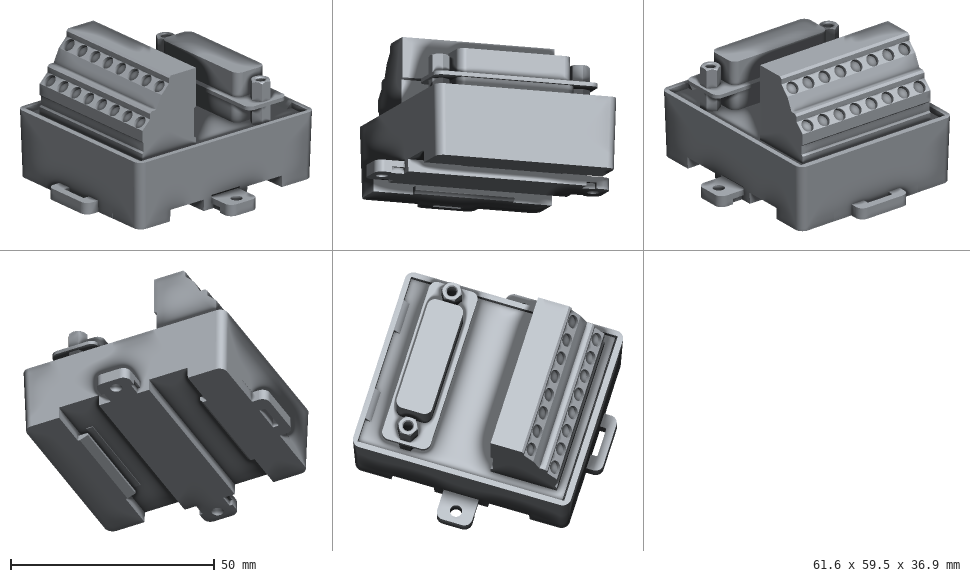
import cadquery as cq
import math

housing_x = 47.75
housing_y = 56.05
housing_z = 17.9
corner_radius = 2.15
draft_angle = 1.5
rim_width = 1.35
front_rim_width = 1.55
tray_depth = 1.55
board_thickness = 1.25
board_top = housing_z - tray_depth
board_bottom = board_top - board_thickness

channel_height = 3.1
channel_rear = 17.7
channel_front = -17.8
foot_y = 13.8
centre_y = -0.25

overall_x = 61.6
ear_width = 9.05
ear_height = 3.0
ear_radius = 2.05
ear_hole_diameter = 3.0
ear_hole_x = 27.7
ear_groove_x = 26.85
ear_groove_height = 1.5
ear_groove_depth = 0.8
ear_relief = 0.7

hook_reach = 2.7
hook_top = 1.55
hook_nose = 0.85
hook_toe = 0.5
pad_y = 14.5
pad_width = 1.7
pad_height = 0.2

snap_width = 8.15
snap_x = 12.1
snap_reach = 1.55
bead_reach = 0.45
board_gap = 0.2

clip_width = 26.1
clip_height = ear_height
clip_face_y = -27.6
clip_end_y = -31.5
clip_nose_y = -16.0
clip_nose_top = 1.8
clip_nose_edge = 0.8
clip_toe = 1.0
handle_width = 15.15
handle_x = -0.1
handle_radius = 2.05
handle_root = 3.1
handle_draft = 1.5
slot_width = 7.7
slot_end_y = -29.3
slot_radius = 0.4

connector_y = 14.95
lower_x = 30.9
lower_y = 10.8
flange_x = 43.0
flange_y = 12.45
flange_bottom = 21.75
flange_thickness = 1.0
shell_x = 29.7
shell_y = 9.1
shell_top = 29.2
connector_radius = 2.0
post_x = 18.4
post_corner_diameter = 5.25
post_top = 27.85
post_chamfer = 0.4
post_bore = 2.45
post_bore_mouth = 3.0
post_bore_depth = 7.4

block_x = 39.9
screw_count = 8
screw_pitch = 5.0
screw_diameter = 3.3
screw_depth = 1.1
block_top = 36.9
block_rear = -6.8
upper_lip = (-15.35, 34.9)
upper_sill = (-17.75, 32.45)
lower_lip = (-21.4, 26.9)
lower_sill = (-23.85, 24.5)
step_y = -19.4
step_z = 28.95
edge_break = 0.55
waist_front_z = 21.55
waist_rear_z = 26.75
waist_depth = 0.45
waist_rear_depth = 0.7
base_z = 18.35


def box(x0, x1, y0, y1, z0, z1):
    """Box between two opposite corners."""
    return cq.Workplane("XY").box(x1 - x0, y1 - y0, z1 - z0, centered=False).translate((x0, y0, z0))


def rounded_block(length, width, radius, y, z0, z1):
    """Upright block with rounded corners, centred on X = 0."""
    block = cq.Workplane("XY", origin=(0, y, z0)).rect(length, width).extrude(z1 - z0)
    return block.edges("|Z").fillet(radius)


def bar(points, width, x=0.0):
    """Prism along X with a (y, z) outline, centred on the given X."""
    return cq.Workplane("YZ", origin=(x - width / 2, 0, 0)).polyline(points).close().extrude(width)


tray_x = housing_x - 2 * rim_width
tray_rear = housing_y / 2 - rim_width
tray_front = -housing_y / 2 + front_rim_width


def housing_shell():
    body = cq.Workplane("XY", origin=(0, 0, housing_z)).rect(housing_x, housing_y)
    body = body.extrude(-housing_z, taper=draft_angle)
    body = body.edges("not(#Z)").fillet(corner_radius)
    tray = box(-tray_x / 2, tray_x / 2, tray_front, tray_rear, board_bottom, housing_z)
    return body.cut(tray)


def rail_channels():
    half = housing_x / 2
    foot_rear = centre_y + foot_y / 2
    foot_front = centre_y - foot_y / 2
    rear = box(-half, half, foot_rear, channel_rear, 0, channel_height)
    front = box(-half, half, channel_front, foot_front, 0, channel_height)
    return rear.union(front)


def fixed_hook():
    nose_y = channel_rear - hook_reach
    hook = bar([
        (channel_rear, 0),
        (channel_rear, hook_top),
        (nose_y, hook_top),
        (nose_y, hook_nose),
        (channel_rear - hook_toe, 0),
    ], clip_width)
    pad = box(-clip_width / 2, clip_width / 2, pad_y - pad_width / 2, pad_y + pad_width / 2,
              channel_height - pad_height, channel_height)
    return hook.union(pad)


def wall_x(z):
    """Half width of the drafted housing at a height."""
    return housing_x / 2 - (housing_z - z) * math.tan(math.radians(draft_angle))


def ear(side):
    """Mounting ear with a screw hole and a groove low on each flank; side is -1 or 1."""
    inner = housing_x / 2 - 2 * ear_relief
    outer = overall_x / 2
    y0 = centre_y - ear_width / 2
    y1 = centre_y + ear_width / 2
    body = box(inner, outer, y0, y1, 0, ear_height).edges("|Z and >X").fillet(ear_radius)
    hole = cq.Workplane("XY").center(ear_hole_x, centre_y).circle(ear_hole_diameter / 2).extrude(ear_height)
    body = body.cut(hole)
    body = body.cut(box(wall_x(0), ear_groove_x, y0, y0 + ear_groove_depth, 0, ear_groove_height))
    body = body.cut(box(wall_x(0), ear_groove_x, y1 - ear_groove_depth, y1, 0, ear_groove_height))
    return body if side > 0 else body.mirror("YZ")


def ear_undercut(side):
    """Sloped relief in the side wall just above an ear."""
    inner = wall_x(ear_height) - ear_relief
    outer = wall_x(ear_height) + ear_relief
    wedge = (
        cq.Workplane("XZ", origin=(0, centre_y + ear_width / 2, 0))
        .polyline([
            (inner, ear_height),
            (outer, ear_height),
            (outer, ear_height + 2 * ear_relief),
        ])
        .close()
        .extrude(ear_width)
    )
    return wedge if side > 0 else wedge.mirror("YZ")


def snap(x):
    return bar([
        (tray_rear, board_top),
        (tray_rear - snap_reach, board_top),
        (tray_rear, housing_z),
    ], snap_width, x)


def front_bead():
    return bar([
        (tray_front, board_bottom),
        (tray_front + bead_reach, board_bottom),
        (tray_front + bead_reach, board_top),
        (tray_front, housing_z),
    ], tray_x)


def clip_pocket():
    half = clip_width / 2
    return box(-half, half, -housing_y / 2, channel_front, 0, clip_height)


def make_housing():
    body = housing_shell().cut(rail_channels()).cut(clip_pocket())
    body = body.union(fixed_hook()).union(front_bead())
    for side in (-1, 1):
        body = body.cut(ear_undercut(side)).union(ear(side)).union(snap(side * snap_x))
    return body


def drafted_block(x, width, front_y, radius, z, height):
    """Drafted block, largest at z, reaching back into the clip body where its rear end is buried."""
    rear_y = clip_face_y + handle_root
    outline = cq.Sketch().rect(width, rear_y - front_y).vertices().fillet(radius)
    block = cq.Workplane("XY", origin=(x, (rear_y + front_y) / 2, z)).placeSketch(outline)
    return block.extrude(height, taper=handle_draft)


def make_clip():
    half = clip_width / 2
    body = box(-half, half, clip_face_y, channel_front, 0, clip_height)
    nose = bar([
        (channel_front, 0),
        (channel_front, clip_nose_top),
        (clip_nose_y, clip_nose_top),
        (clip_nose_y, clip_nose_edge),
        (channel_front + clip_toe, 0),
    ], clip_width)
    handle = drafted_block(handle_x, handle_width, clip_end_y, handle_radius, 0, clip_height)
    slot = drafted_block(0, slot_width, slot_end_y, slot_radius, clip_height, -clip_height)
    return handle.cut(slot).union(body).union(nose)


def board_plate():
    front = tray_front + bead_reach + board_gap
    return box(-tray_x / 2, tray_x / 2, front, tray_rear, board_bottom, board_top)


def connector():
    flange_top = flange_bottom + flange_thickness
    lower = rounded_block(lower_x, lower_y, connector_radius, connector_y, board_top, flange_bottom)
    flange = rounded_block(flange_x, flange_y, connector_radius, connector_y, flange_bottom, flange_top)
    shell = rounded_block(shell_x, shell_y, connector_radius, connector_y, flange_top, shell_top)
    return lower.union(flange).union(shell)


def hex_post(x):
    """Hexagonal jack post with a turned top edge and a countersunk bore."""
    height = post_top - board_top
    centre = (x, connector_y, board_top)
    post = cq.Workplane("XY", origin=centre).polygon(6, post_corner_diameter).extrude(height)
    post = post.rotate(centre, (x, connector_y, post_top), 30)
    envelope = cq.Workplane("XY", origin=centre).circle(post_corner_diameter / 2).extrude(height)
    return post.intersect(envelope.faces(">Z").chamfer(post_chamfer))


def post_hole(x):
    top = cq.Workplane("XY", origin=(x, connector_y, post_top))
    bore = top.circle(post_bore / 2).extrude(-post_bore_depth)
    mouth_depth = (post_bore_mouth - post_bore) / 2
    mouth = top.circle(post_bore_mouth / 2).extrude(-mouth_depth, taper=45)
    return bore.union(mouth)


def screw_holes(lip, sill):
    """Row of blind screw holes square to the face between two (y, z) edges."""
    y = (lip[0] + sill[0]) / 2
    z = (lip[1] + sill[1]) / 2
    face = cq.Plane(origin=(0, y, z), xDir=(1, 0, 0), normal=(0, sill[1] - lip[1], lip[0] - sill[0]))
    row = cq.Workplane(face).rarray(screw_pitch, 0.6, screw_count, 1)
    return row.circle(screw_diameter / 2).extrude(-screw_depth)


def terminal_block():
    waist_y = lower_sill[0] + waist_depth
    waist_rear_y = block_rear - waist_rear_depth
    waist_bottom = base_z + waist_depth
    body = bar([
        (block_rear, board_top),
        (block_rear, base_z),
        (waist_rear_y, waist_bottom),
        (waist_rear_y, waist_rear_z - waist_depth),
        (block_rear, waist_rear_z),
        (block_rear, block_top),
        (upper_lip[0] + edge_break, block_top),
        (upper_lip[0], block_top - edge_break),
        upper_lip,
        upper_sill,
        (step_y, step_z),
        (lower_lip[0] + edge_break, step_z),
        (lower_lip[0], step_z - edge_break),
        lower_lip,
        lower_sill,
        (lower_sill[0], waist_front_z),
        (waist_y, waist_front_z - waist_depth),
        (waist_y, waist_bottom),
        (lower_sill[0], base_z),
        (lower_sill[0], board_top),
    ], block_x)
    return body.cut(screw_holes(upper_lip, upper_sill)).cut(screw_holes(lower_lip, lower_sill))


def make_board():
    body = board_plate().union(connector()).union(terminal_block())
    for x in (-post_x, post_x):
        body = body.union(hex_post(x)).cut(post_hole(x))
    return body


housing = make_housing()
clip = make_clip()
board = make_board()

result = cq.Compound.makeCompound([housing.solids().val(), clip.solids().val(), board.solids().val()])